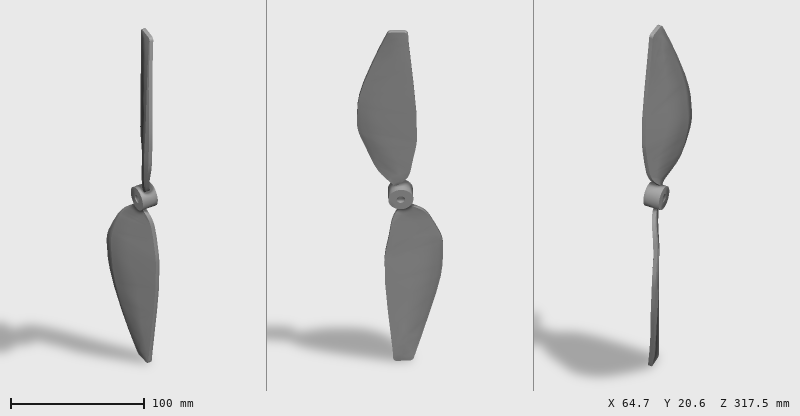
import cadquery as cq

HUB_DIAMETER = 18.7
HUB_LENGTH = 12.7
BORE_DIAMETER = 6.5

PROPELLER_LENGTH = 317.5
PROPELLER_WIDTH = 64.5
TIP_Z = PROPELLER_LENGTH / 2
MAX_TRAIL_X = PROPELLER_WIDTH / 2
ROOT_Z = 7.5
BLADE_THICKNESS = 3.02
TIP_CORNER_RADIUS = 3.0

BLADE_STATIONS = [
    (ROOT_Z, 2.5, 4.5, 0.5, -6.5, -9.2),
    (11.0, 0.3, 7.3, 1.0, -5.5, -9.5),
    (18.7, -5.0, 16.0, 2.0, -3.0, -13.3),
    (30.2, -8.0, 22.5, 3.0, -1.0, -17.5),
    (45.5, -10.5, 29.0, 4.8, -0.3, -20.0),
    (64.5, -12.0, MAX_TRAIL_X, 6.7, 0.0, -20.5),
    (87.3, -11.5, 30.5, 5.7, -0.3, -19.0),
    (114.0, -9.2, 23.5, 3.5, -1.3, -15.5),
    (128.5, -8.0, 19.0, 2.5, -2.0, -13.0),
    (144.5, -6.5, 14.0, 2.0, -2.5, -10.0),
    (TIP_Z, -5.7, 9.2, 1.3, -3.2, -6.7),
]


def blade_section(z, lead_x, trail_x, band, lead_y, trail_y):
    """Sloping five-sided section with upright edges and a flat band along the trailing edge."""
    corners = [
        (lead_x, lead_y),
        (lead_x, lead_y - BLADE_THICKNESS),
        (trail_x - band, trail_y),
        (trail_x, trail_y),
        (trail_x, trail_y + BLADE_THICKNESS),
    ]
    return cq.Wire.makePolygon([cq.Vector(x, y, z) for x, y in corners], close=True)


def make_blade():
    """Loft the stations, then round the two corners of the tip."""
    sections = [blade_section(*station) for station in BLADE_STATIONS]
    blade = cq.Workplane(cq.Solid.makeLoft(sections))
    return blade.faces(">Z").edges("<X or >X").fillet(TIP_CORNER_RADIUS)


hub = cq.Workplane("XZ").circle(HUB_DIAMETER / 2).extrude(HUB_LENGTH)
bore = cq.Workplane("XZ").circle(BORE_DIAMETER / 2).extrude(HUB_LENGTH)

upper_blade = make_blade()
lower_blade = upper_blade.rotate((0, 0, 0), (0, 1, 0), 180)
result = hub.union(upper_blade).union(lower_blade).cut(bore)